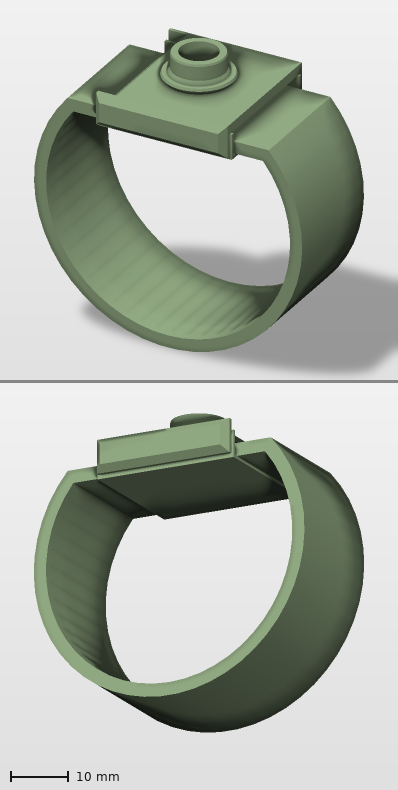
import cadquery as cq
import math

overall_height = 52.85
band_radius = 26.35
band_wall = 2.4
band_width = 22.15
flat_top = 17.45
flat_bottom = flat_top - band_wall

carrier_length = 26.55
carrier_width = 24.8
carrier_sheet = 0.6
carrier_bottom = flat_bottom - carrier_sheet

cover_length = 25.85
cover_width = 29.0
cover_top = 21.35
cover_height = 6.2
plate_thickness = 1.9
plate_bottom = cover_top - plate_thickness
channel_width = 25.2
flange_chamfer = 1.2
end_setback = 2.4
end_bevel_length = 1.25
end_bevel_height = 1.05

stud_top = overall_height - band_radius
stud_radius = 5.0
bore_radius = 3.6
rim_chamfer_height = 0.35
rim_chamfer_width = 0.15
neck_height = 0.8
neck_step_height = 0.2
neck_step_width = 0.15
neck_base_radius = 5.55
collar_base_radius = 6.2
collar_radius = 6.7
collar_top_radius = 6.5
collar_edge_height = 0.8
collar_height = 1.25


def band_outline(radius, flat_height):
    """Circle cut by a level chord, in the XZ plane."""
    half_chord = math.sqrt(radius**2 - flat_height**2)
    return (
        cq.Workplane("XZ")
        .moveTo(-half_chord, flat_height)
        .threePointArc((0, -radius), (half_chord, flat_height))
        .close()
    )


def make_band():
    outer = band_outline(band_radius, flat_top).extrude(band_width / 2, both=True)
    inner = band_outline(band_radius - band_wall, flat_bottom).extrude(band_width / 2, both=True)
    return outer.cut(inner)


def box_between(length, width, bottom, top):
    """Box centred on the Z axis between two heights."""
    return (
        cq.Workplane("XY")
        .workplane(offset=bottom)
        .rect(length, width)
        .extrude(top - bottom)
    )


def make_carrier():
    channel = box_between(carrier_length, carrier_width, carrier_bottom, plate_bottom)
    inside_width = carrier_width - 2 * carrier_sheet
    inside = box_between(carrier_length, inside_width, flat_bottom, plate_bottom)
    return channel.cut(inside)


def make_plate_end_cut():
    """Space left open by the set-back, bevelled -X end of the plate."""
    end = -cover_length / 2
    plate_end = end + end_setback
    return (
        cq.Workplane("XZ")
        .moveTo(end, plate_bottom)
        .lineTo(plate_end, plate_bottom)
        .lineTo(plate_end, cover_top - end_bevel_height)
        .lineTo(plate_end + end_bevel_length, cover_top)
        .lineTo(end, cover_top)
        .close()
        .extrude(channel_width / 2, both=True)
    )


def make_stud():
    collar_top = cover_top + collar_height
    neck_top = collar_top + neck_height
    return (
        cq.Workplane("XZ")
        .moveTo(0, cover_top)
        .lineTo(collar_base_radius, cover_top)
        .lineTo(collar_radius, cover_top + collar_edge_height)
        .lineTo(collar_top_radius, collar_top)
        .lineTo(neck_base_radius, collar_top)
        .lineTo(stud_radius + neck_step_width, neck_top - neck_step_height)
        .lineTo(stud_radius, neck_top)
        .lineTo(stud_radius, stud_top - rim_chamfer_height)
        .lineTo(stud_radius - rim_chamfer_width, stud_top)
        .lineTo(bore_radius, stud_top)
        .lineTo(bore_radius, collar_top)
        .lineTo(0, collar_top)
        .close()
        .revolve(360, (0, 0, 0), (0, 1, 0))
    )


def make_cover():
    cover_bottom = cover_top - cover_height
    block = box_between(cover_length, cover_width, cover_bottom, cover_top)
    block = block.faces("<Y or >Y").edges().chamfer(flange_chamfer)
    channel = box_between(cover_length, channel_width, cover_bottom, plate_bottom)
    return block.cut(channel).cut(make_plate_end_cut()).union(make_stud())


band = make_band()
carrier = make_carrier()
cover = make_cover()

result = cq.Compound.makeCompound([band.val(), carrier.val(), *cover.solids().vals()])